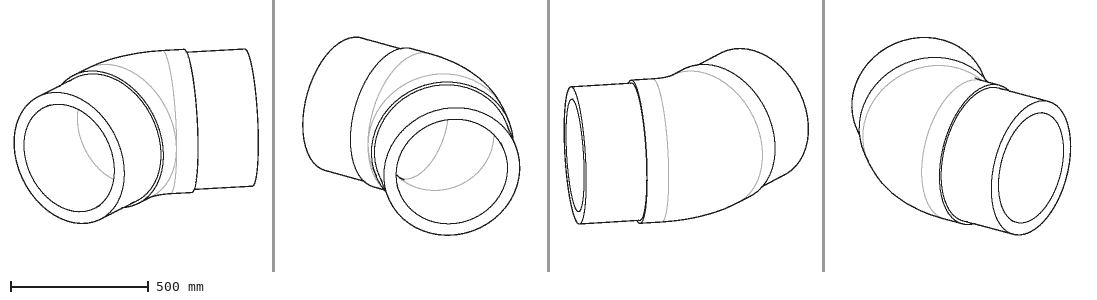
import cadquery as cq
import math

bore_diameter = 409.0
spigot_diameter = 500.0
collar_diameter = 522.0
spigot_length = 223.0
collar_length = 79.0
bend_angle = 45.0
outer_bend_radius = 262.0
bore_bend_radius = 206.0

leg_length = spigot_length + collar_length
turn = math.radians(bend_angle)


def tangent_length(bend_radius):
    """Distance from the crossing of the two leg axes to either end of a bend."""
    return bend_radius * math.tan(turn / 2)


inlet = cq.Plane(origin=(0, 0, 0), xDir=(1, 0, 0), normal=(0, -1, 0))
outlet = cq.Plane(origin=(0, 0, 0), xDir=(0, 0, 1), normal=(math.sin(turn), math.cos(turn), 0))
legs = (inlet, outlet)


def cylinder(leg, diameter, start, end):
    """Straight cylinder along a leg axis, between two distances from the axis crossing."""
    return cq.Workplane(leg).workplane(offset=start).circle(diameter / 2).extrude(end - start)


def bend(diameter, bend_radius):
    """Solid torus sector, tangent to both leg axes."""
    section = cq.Workplane("XZ", origin=(0, -tangent_length(bend_radius), 0)).circle(diameter / 2)
    return section.revolve(bend_angle, (bend_radius, 0), (bend_radius, -1))


collar_start = tangent_length(outer_bend_radius)
collar_end = collar_start + collar_length
leg_end = collar_start + leg_length

body = bend(collar_diameter, outer_bend_radius)
for leg in legs:
    body = body.union(cylinder(leg, collar_diameter, collar_start, collar_end))
    body = body.union(cylinder(leg, spigot_diameter, collar_end, leg_end))

bore = bend(bore_diameter, bore_bend_radius)
for leg in legs:
    bore = bore.union(cylinder(leg, bore_diameter, tangent_length(bore_bend_radius), leg_end))

result = body.cut(bore)